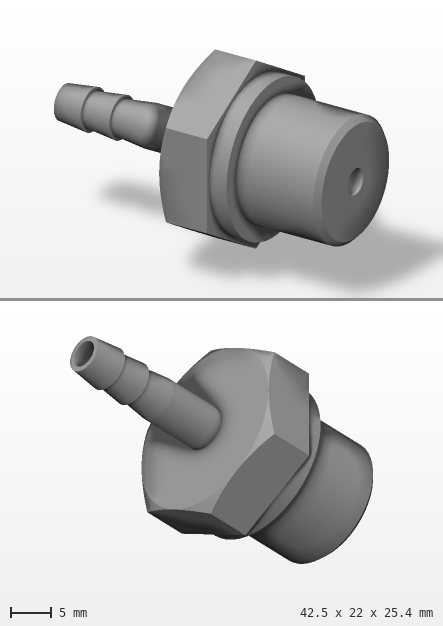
import cadquery as cq
import math

tail_length = 21.0
hex_length = 7.0
collar_length = 2.5
thread_length = 12.0

tail_diameter = 5.8
barb_root_diameter = 4.8
barb_count = 3
barb_pitch = 4.2

hex_sides = 6
hex_across_flats = 22.0
hex_chamfer_angle = 30.0
collar_diameter = 21.0
thread_diameter = 16.66
thread_chamfer = 0.75
bore_diameter = 3.5

total_length = tail_length + hex_length + collar_length + thread_length
tip_x = 0.0
hex_x = tip_x + tail_length
collar_x = hex_x + hex_length
thread_x = collar_x + collar_length


def cylinder(start_x, length, diameter):
    """Cylinder about the X axis."""
    return cq.Workplane("YZ", origin=(start_x, 0, 0)).circle(diameter / 2).extrude(length)


def cone(start_x, length, start_diameter, end_diameter):
    """Truncated cone about the X axis."""
    profile = [
        (start_x, 0),
        (start_x, start_diameter / 2),
        (start_x + length, end_diameter / 2),
        (start_x + length, 0),
    ]
    return cq.Workplane("XZ").polyline(profile).close().revolve(360, (0, 0, 0), (1, 0, 0))


def make_hose_tail():
    """Tapered barbs that widen away from the tip, then a plain shank."""
    barbs_length = barb_count * barb_pitch
    tail = cylinder(tip_x + barbs_length, tail_length - barbs_length, tail_diameter)
    for index in range(barb_count):
        barb_x = tip_x + index * barb_pitch
        tail = tail.union(cone(barb_x, barb_pitch, barb_root_diameter, tail_diameter))
    return tail


def make_hexagon():
    """Hexagon with flats facing +Y and -Y, corners chamfered on the hose side."""
    across_corners = hex_across_flats / math.cos(math.pi / hex_sides)
    hexagon = (
        cq.Workplane("YZ", origin=(hex_x, 0, 0))
        .transformed(rotate=(0, 0, 90))
        .polygon(hex_sides, across_corners)
        .extrude(hex_length)
    )
    end_diameter = hex_across_flats + 2 * hex_length / math.tan(math.radians(hex_chamfer_angle))
    return hexagon.intersect(cone(hex_x, hex_length, hex_across_flats, end_diameter))


def make_threaded_spigot():
    """Plain cylinder at the thread's outer diameter with a chamfered end."""
    return cylinder(thread_x, thread_length, thread_diameter).faces(">X").chamfer(thread_chamfer)


collar = cylinder(collar_x, collar_length, collar_diameter)
bore = cylinder(tip_x, total_length, bore_diameter)

result = make_hose_tail().union(make_hexagon()).union(collar).union(make_threaded_spigot()).cut(bore)